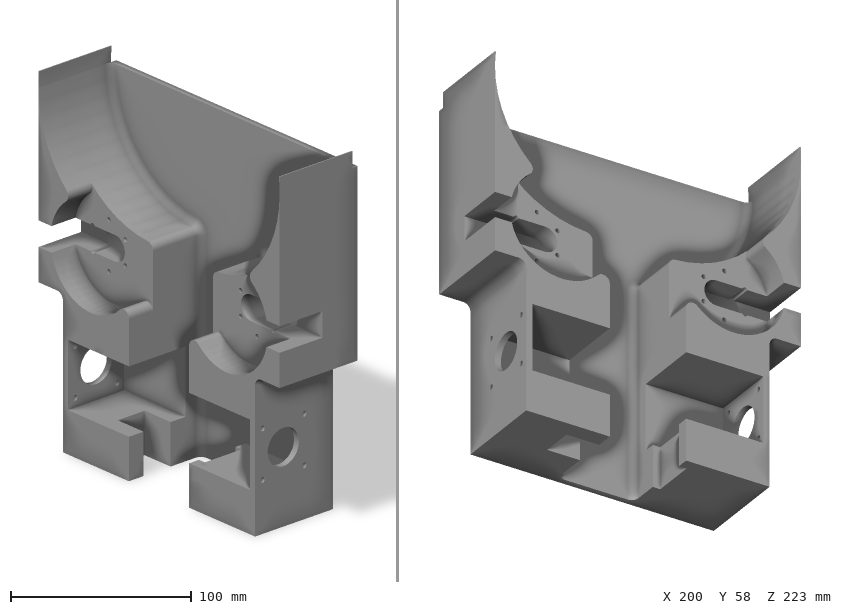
import cadquery as cq
import math

LEFT = -1
RIGHT = 1

width = 200.0
total_height = 223.0
housing_height = 213.0
depth = 58.0
plate_thickness = 4.0
lower_width = 159.2
step_height = 96.0
step_fillet = 5.0

half_width = width / 2
half_lower = lower_width / 2
wall_depth = depth - plate_thickness

slot_half = 25.0
bowl_radius = half_width - slot_half
shoulder_radius = 4.5
floor_fillet = 4.5

recess_x = 56.2
recess_z = 125.0
recess_radius = 34.0
recess_depth = 17.8
recess_fillet = 4.5
shaft_slot_width = 16.0
motor_floor = 26.0
motor_offset = 5.1
motor_radius = 18.5
motor_x = recess_x + motor_offset
screw_circle_radius = 15.5
screw_count = 6
screw_diameter = 3.0

pocket_wall = 4.0
pocket_height = 42.4
pocket_z = 48.0
pocket_back = 16.0
pocket_axis = 37.0
pilot_diameter = 23.2
pilot_screw_pitch = 31.0
pilot_screw_diameter = 3.3
pocket_outer_x = half_lower - pocket_wall
pocket_floor = pocket_z - pocket_height / 2

floor_notches = [(LEFT, 20.0, 21.5), (RIGHT, 27.2, 5.0)]


def span_box(x_a, x_b, y_a, y_b, z_a, z_b):
    """Box between two opposite corners."""
    size = (abs(x_b - x_a), abs(y_b - y_a), abs(z_b - z_a))
    low_corner = (min(x_a, x_b), min(y_a, y_b), min(z_a, z_b))
    return cq.Workplane("XY").box(*size, centered=False).translate(low_corner)


def y_cylinder(x, z, radius, y_front, y_back):
    """Cylinder along Y between two depths."""
    disc = cq.Workplane("XZ", origin=(0, y_back, 0)).center(x, z).circle(radius)
    return disc.extrude(y_back - y_front)


def fillet_edge_at(body, point, radius):
    """Fillet the one edge along Y whose middle is nearest to the point."""
    return body.edges("|Y").edges(cq.selectors.NearestToPointSelector(point)).fillet(radius)


def blank():
    """Full-depth block, narrower below the step, with filleted inner corners at the step."""
    upper = span_box(-half_width, half_width, -depth, 0, step_height, housing_height)
    lower = span_box(-half_lower, half_lower, -depth, 0, 0, step_height)
    body = upper.union(lower)
    for side in (LEFT, RIGHT):
        corner = (side * half_lower, -depth / 2, step_height)
        body = fillet_edge_at(body, corner, step_fillet)
    return body


def channel():
    """Bowl and slot, with rounded shoulders and a fillet around the floor."""
    spread = shoulder_radius / math.sqrt(2)
    shoulder_x = slot_half + shoulder_radius
    centre_distance = bowl_radius + shoulder_radius
    shoulder_z = housing_height - math.sqrt(centre_distance**2 - shoulder_radius**2)
    touch = bowl_radius / centre_distance
    touch_x = slot_half + shoulder_radius * touch
    touch_z = housing_height + (shoulder_z - housing_height) * touch
    bowl_mid_x = slot_half + bowl_radius / math.sqrt(2)
    bowl_mid_z = housing_height - bowl_radius / math.sqrt(2)
    outline = (
        cq.Workplane("XZ", origin=(0, -plate_thickness, 0))
        .moveTo(-half_width, total_height)
        .lineTo(-half_width, housing_height)
        .threePointArc((-bowl_mid_x, bowl_mid_z), (-touch_x, touch_z))
        .threePointArc((-shoulder_x + spread, shoulder_z + spread), (-slot_half, shoulder_z))
        .lineTo(-slot_half, -total_height)
        .lineTo(slot_half, -total_height)
        .lineTo(slot_half, shoulder_z)
        .threePointArc((shoulder_x - spread, shoulder_z + spread), (touch_x, touch_z))
        .threePointArc((bowl_mid_x, bowl_mid_z), (half_width, housing_height))
        .lineTo(half_width, total_height)
        .close()
    )
    return outline.extrude(wall_depth).faces(">Y").edges().fillet(floor_fillet)


def gear_recess(side):
    """Round recess in the front face, cutting through into the channel."""
    return y_cylinder(side * recess_x, recess_z, recess_radius, -depth, -depth + recess_depth)


def recess_ends(side):
    """Midpoints of the two sharp edges where the recess meets the slot wall and the bowl."""
    y_middle = -depth + recess_depth / 2
    wall_distance = recess_x - slot_half
    slot_end_z = recess_z - math.sqrt(recess_radius**2 - wall_distance**2)
    rise = housing_height - recess_z
    spacing = math.hypot(wall_distance, rise)
    along = (recess_radius**2 - bowl_radius**2 + spacing**2) / (2 * spacing)
    across = math.sqrt(recess_radius**2 - along**2)
    bowl_end_x = recess_x - (along * wall_distance - across * rise) / spacing
    bowl_end_z = recess_z + (along * rise + across * wall_distance) / spacing
    return [
        (side * slot_half, y_middle, slot_end_z),
        (side * bowl_end_x, y_middle, bowl_end_z),
    ]


def motor_mount(side):
    """Shaft slot from the front, motor bore from the back and the screw holes between them."""
    shaft_x = side * recess_x
    half_slot = shaft_slot_width / 2
    slot = span_box(
        shaft_x, side * half_width, -depth, -motor_floor, recess_z - half_slot, recess_z + half_slot
    ).union(y_cylinder(shaft_x, recess_z, half_slot, -depth, -motor_floor))
    mount = slot.union(y_cylinder(side * motor_x, recess_z, motor_radius, -motor_floor, 0))
    screws = (
        cq.Workplane("XZ", origin=(side * motor_x, 0, recess_z))
        .polarArray(screw_circle_radius, 90, 360, screw_count)
        .circle(screw_diameter / 2)
        .extrude(depth)
    )
    return mount.union(screws)


def motor_pocket(side):
    """Lower pocket, open to the front and the channel, with a motor face in its outer wall."""
    pocket = span_box(
        0, side * pocket_outer_x, -depth, -pocket_back, pocket_floor, pocket_floor + pocket_height
    )
    wall = cq.Workplane("YZ", origin=(0, -pocket_axis, pocket_z))
    pilot = wall.circle(pilot_diameter / 2).extrude(side * half_width)
    screws = (
        wall.rect(pilot_screw_pitch, pilot_screw_pitch, forConstruction=True)
        .vertices()
        .circle(pilot_screw_diameter / 2)
        .extrude(side * half_width)
    )
    return pocket.union(pilot).union(screws)


def floor_notch(side, notch_width, notch_reach):
    """Notch from the channel into the block below the motor pocket."""
    return span_box(
        0,
        side * (slot_half + notch_reach),
        -pocket_axis - notch_width / 2,
        -pocket_axis + notch_width / 2,
        0,
        pocket_z,
    )


def make_housing():
    """Blank with the channel, and a recess, motor mount and motor pocket on each side."""
    body = blank().cut(channel())
    for side in (LEFT, RIGHT):
        body = body.cut(gear_recess(side))
        for end in recess_ends(side):
            body = fillet_edge_at(body, end, recess_fillet)
        body = body.cut(motor_mount(side)).cut(motor_pocket(side))
    for notch in floor_notches:
        body = body.cut(floor_notch(*notch))
    return body


def make_fin(side):
    """Thin wedge on top of the side wall, its inner face continuing the bowl circle."""
    rise = total_height - housing_height
    mid_angle = math.asin(rise / bowl_radius) / 2
    mid = (
        side * (slot_half + bowl_radius * math.cos(mid_angle)),
        housing_height + bowl_radius * math.sin(mid_angle),
    )
    tip_x = side * (slot_half + math.sqrt(bowl_radius**2 - rise**2))
    return (
        cq.Workplane("XZ", origin=(0, -plate_thickness, 0))
        .moveTo(side * half_width, housing_height)
        .threePointArc(mid, (tip_x, total_height))
        .lineTo(side * half_width, total_height)
        .close()
        .extrude(wall_depth)
    )


housing = make_housing()
fins = [make_fin(side) for side in (LEFT, RIGHT)]

result = cq.Compound.makeCompound([housing.val(), *[fin.val() for fin in fins]])